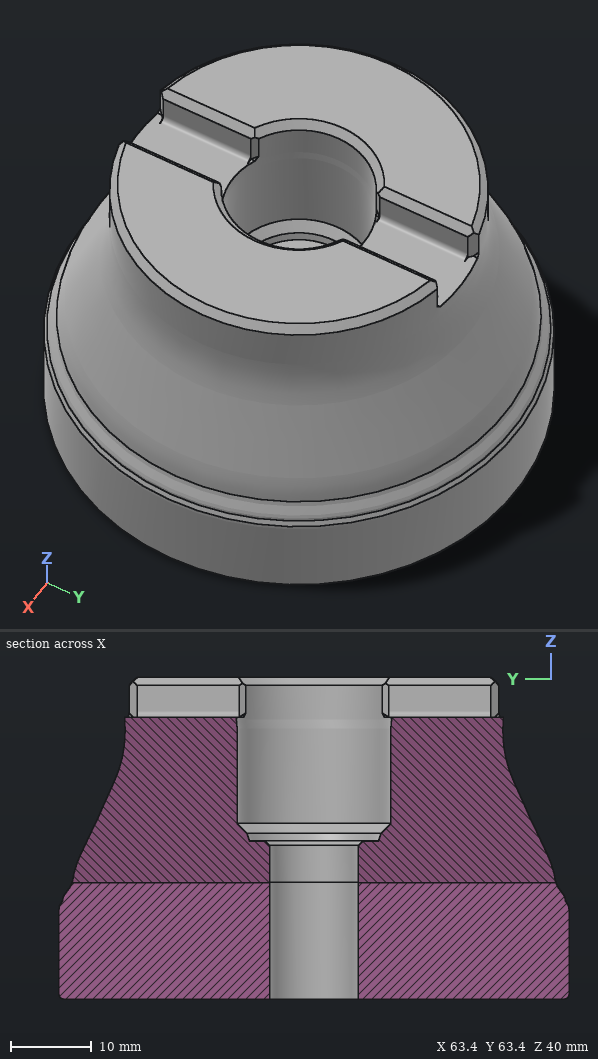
import cadquery as cq
import math

height = 40.0
base_radius = 31.7
parting_z = 14.5
through_diameter = 11.0

joint_radius = 30.1
rim_bands = [
    (base_radius, 11.15),
    (31.65, 11.6),
    (31.3, 12.25),
    (31.2, 12.6),
    (31.0, 13.0),
    (30.3, 13.95),
]
bottom_round = 0.65

neck_radius = 47.0 / 2
edge_chamfer = 1.0
neck_bottom_z = 33.25
flare_radius = 15.0
flare_angle = math.radians(24.8)
skirt_bottom_z = 17.9

mouth_radius = 19.2 / 2
bore_radius = 9.5
seat_radius = 8.0
mouth_bottom_z = 34.7
mouth_taper = 1.1
seat_cone_top_z = 21.8
seat_taper = 0.3
seat_wall_height = 0.95
seat_cone_bottom_radius = seat_radius + seat_taper
seat_z = 19.7
hole_chamfer = 0.6

slot_half_width = 4.05
slot_floor_z = 35.0
slot_floor_fillet = 0.75
rim_flare_length = 1.2
bore_flare_width = 0.5
bore_flare_length = 0.6
flare_bottom_chamfer = 0.5

through_radius = through_diameter / 2


def make_base():
    """Round base disc with a banded upper rim and a rounded bottom edge."""
    profile = cq.Workplane("XZ").moveTo(through_radius, 0).lineTo(base_radius, 0)
    for radius, z in rim_bands:
        profile = profile.lineTo(radius, z)
    profile = profile.lineTo(joint_radius, parting_z).lineTo(through_radius, parting_z).close()
    base = profile.revolve(360, (0, 0), (0, 1))
    outer_bottom_edge = cq.selectors.RadiusNthSelector(-1)
    return base.faces("<Z").edges(outer_bottom_edge).fillet(bottom_round)


def make_hub_blank():
    """Solid of revolution: neck, concave flare, conical skirt and convex foot."""
    def flare_point(angle):
        return (neck_radius + flare_radius * (1 - math.cos(angle)),
                neck_bottom_z - flare_radius * math.sin(angle))

    flare_end = flare_point(flare_angle)
    skirt_bottom_radius = flare_end[0] + (flare_end[1] - skirt_bottom_z) * math.tan(flare_angle)
    return (
        cq.Workplane("XZ")
        .moveTo(0, parting_z)
        .lineTo(0, height)
        .lineTo(neck_radius - edge_chamfer, height)
        .lineTo(neck_radius, height - edge_chamfer)
        .lineTo(neck_radius, neck_bottom_z)
        .threePointArc(flare_point(flare_angle / 2), flare_end)
        .lineTo(skirt_bottom_radius, skirt_bottom_z)
        .tangentArcPoint((joint_radius, parting_z), relative=False)
        .close()
        .revolve(360, (0, 0), (0, 1))
    )


def make_bore_cutter():
    """Stepped bore: chamfered mouth, main bore, conical seat and through hole."""
    outline = [
        (0, parting_z),
        (through_radius, parting_z),
        (through_radius, seat_z - hole_chamfer),
        (through_radius + hole_chamfer, seat_z),
        (seat_radius, seat_z),
        (seat_cone_bottom_radius, seat_z + seat_wall_height),
        (bore_radius, seat_cone_top_z),
        (bore_radius, mouth_bottom_z - mouth_taper),
        (mouth_radius, mouth_bottom_z),
        (mouth_radius, height - edge_chamfer),
        (mouth_radius + edge_chamfer, height),
        (0, height),
    ]
    return cq.Workplane("XZ").polyline(outline).close().revolve(360, (0, 0), (0, 1))


def make_slot_cutter():
    """Slot with filleted floor corners and chamfered upper edges."""
    depth = height - slot_floor_z
    slot = (
        cq.Workplane("XY", origin=(0, 0, slot_floor_z))
        .rect(2 * slot_half_width, 2 * base_radius)
        .extrude(depth)
        .faces("<Z").edges("|Y").fillet(slot_floor_fillet)
    )
    top_half_width = slot_half_width + edge_chamfer
    mouth = (
        cq.Workplane("XZ", origin=(0, base_radius, 0))
        .polyline([
            (-top_half_width, height),
            (top_half_width, height),
            (slot_half_width, height - edge_chamfer),
            (-slot_half_width, height - edge_chamfer),
        ])
        .close()
        .extrude(2 * base_radius)
    )
    return slot.union(mouth)


def make_slot_flare(cylinder_radius, width, length, outward):
    """Wedges that widen both ends of the slot where its walls meet a cylinder.

    outward is 1 where the slot leaves the hub, -1 where it enters the bore.
    """
    wide = slot_half_width + width
    corner_y = math.sqrt(cylinder_radius**2 - wide**2)
    narrow_y = math.sqrt(cylinder_radius**2 - slot_half_width**2) - outward * length
    end_y = corner_y + outward * edge_chamfer
    flare = (
        cq.Workplane("XY", origin=(0, 0, slot_floor_z))
        .polyline([
            (-slot_half_width, narrow_y),
            (slot_half_width, narrow_y),
            (wide, corner_y),
            (wide, end_y),
            (-wide, end_y),
            (-wide, corner_y),
        ])
        .close()
        .extrude(height - slot_floor_z)
        .faces("<Z").edges("|Y").chamfer(flare_bottom_chamfer)
    )
    return flare.union(flare.mirror("XZ"))


def make_hub():
    rim_flare = make_slot_flare(neck_radius, edge_chamfer, rim_flare_length, 1)
    bore_flare = make_slot_flare(mouth_radius, bore_flare_width, bore_flare_length, -1)
    hub = make_hub_blank().cut(make_bore_cutter())
    return hub.cut(make_slot_cutter()).cut(rim_flare).cut(bore_flare)


base = make_base()
hub = make_hub()
result = cq.Compound.makeCompound([base.val(), hub.val()])